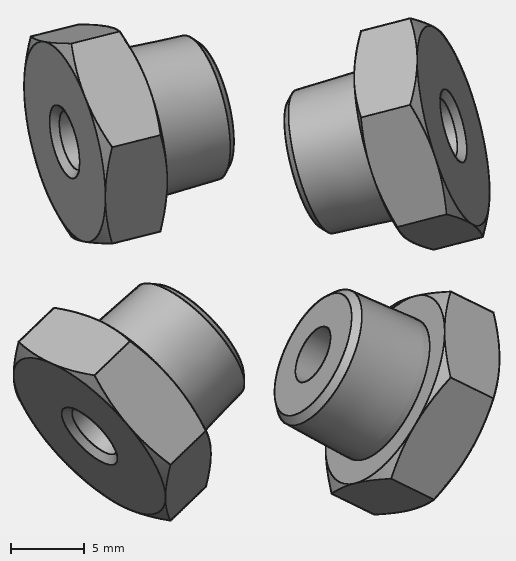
import cadquery as cq
import math

corner_diameter = 16.17
hex_length = 4.58
total_length = 10.58
corner_chamfer = 0.5
collar_diameter = 10.5
collar_length = 0.5
tip_diameter = 10.09
tip_chamfer = 0.5
bore_diameter = 4.14
bore_chamfer = 0.5

corner_radius = corner_diameter / 2
flat_radius = corner_radius * math.cos(math.radians(30))
collar_radius = collar_diameter / 2
tip_radius = tip_diameter / 2
bore_radius = bore_diameter / 2


def revolve_profile(points):
    """Revolve a closed (radius, Y) profile about the Y axis."""
    return cq.Workplane("XY").polyline(points).close().revolve(360, (0, 0, 0), (0, 1, 0))


hexagon = (
    cq.Workplane("XZ")
    .polygon(6, corner_diameter)
    .extrude(-hex_length)
    .rotate((0, 0, 0), (0, 1, 0), 90)
)

corner_trim = revolve_profile([
    (0, 0),
    (flat_radius, 0),
    (corner_radius, corner_chamfer),
    (corner_radius, hex_length - corner_chamfer),
    (flat_radius, hex_length),
    (0, hex_length),
])
head = hexagon.intersect(corner_trim)

shank = revolve_profile([
    (0, 0),
    (collar_radius, 0),
    (collar_radius, hex_length + collar_length),
    (tip_radius, total_length - tip_chamfer),
    (tip_radius - tip_chamfer, total_length),
    (0, total_length),
])

bore = revolve_profile([
    (0, 0),
    (bore_radius + bore_chamfer, 0),
    (bore_radius, bore_chamfer),
    (bore_radius, total_length),
    (0, total_length),
])

result = head.union(shank).cut(bore)